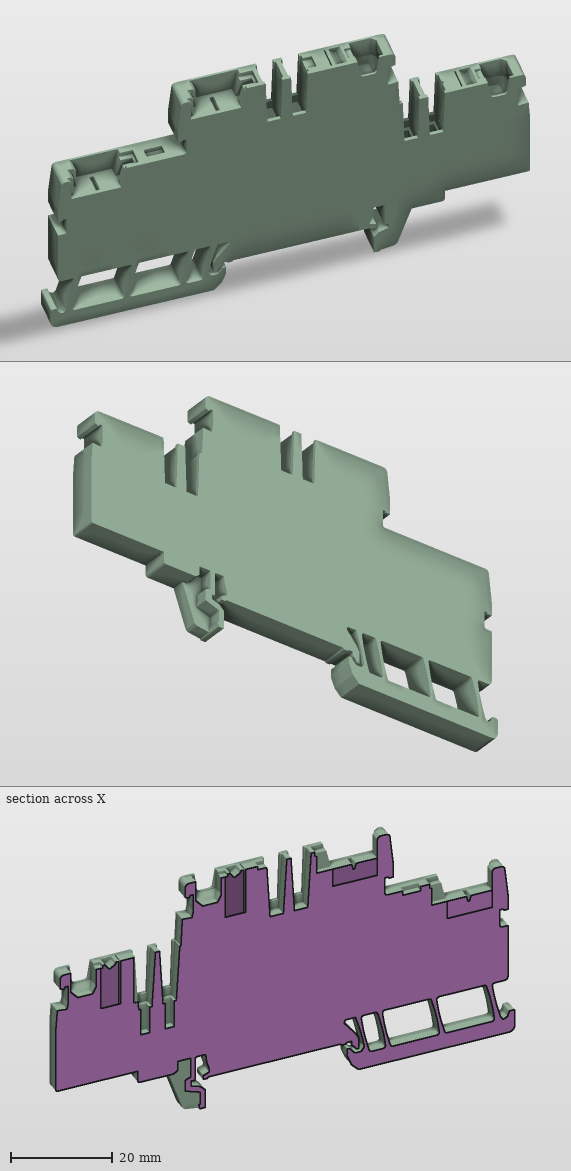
import cadquery as cq
import math

WIDTH = 6.1
HALF = WIDTH / 2
TOTAL_HEIGHT = 53.6
TIER_RISE = 14.2
LOWER_TOP = TOTAL_HEIGHT - TIER_RISE
UNDERSIDE = 12.4
RAIL_SEAT = 7.0
FOOT_BOTTOM = 9.7

WIRE_TIER_SHIFT = 27.2
LEVER_TIER_SHIFT = 25.0

WIRE_TIERS = ((LOWER_TOP, 0.0), (TOTAL_HEIGHT, -WIRE_TIER_SHIFT))
LEVER_TIERS = ((LOWER_TOP, 0.0), (TOTAL_HEIGHT, LEVER_TIER_SHIFT))

SLOT_PITCH = 5.3
LOWER_SLOT_Y = 30.5
UPPER_SLOT_Y = 1.9
SLOT_DEPTH = 10.6
SLOT_TOP_WIDTH = 3.5
SLOT_FLOOR_WIDTH = 2.8
SLOT_CORE_HALF_X = 2.3
SLOT_CORE_TOP_WIDTH = 4.3
SLOT_CORE_DEPTH = 12.5
JUMPER_HOLE_X = 3.0
JUMPER_HOLE_Y = 1.8
JUMPER_HOLE_DEPTH = 6.0
KEY_GROOVE_WIDTH = 0.6
TEST_NOTCH_LENGTH = 1.9
TEST_NOTCH_DEPTH = 0.8

FUNNEL_MOUTH = (-2.6, 2.6, 41.2, 46.7)
FUNNEL_THROAT = (-1.9, 1.4, 42.0, 45.2)
FUNNEL_SHAFT_DEPTH = 4.5
FUNNEL_TAPER_DEPTH = 1.6
FUNNEL_MOUTH_CORNER = 0.9
FUNNEL_THROAT_CORNER = 0.4
FUNNEL_DIP_TOP = (41.2, 45.8)
FUNNEL_DIP_FLOOR = (41.9, 45.2)
FUNNEL_DIP_DEPTH = 4.3
FUNNEL_DIP_RADIUS = 0.8

BUTTON_HALF_X = 2.3
BUTTON_Y0 = 36.2
BUTTON_Y1 = 40.2
BUTTON_GROOVE = ((39.3, 0.0), (38.4, -1.2), (38.1, -1.2), (37.1, -0.5), (36.9, 0.0))
BUTTON_GAP = 0.3
BUTTON_HEIGHT = 10.0
BUTTON_NOTCH_X = 2.7
BUTTON_NOTCH_REACH = 0.4
BUTTON_NOTCH_DEPTH = 0.6

RECESS_X0 = -2.6
RECESS_STEP_X = (-0.1, 2.1)
RECESS_Y_START = -34.1
RECESS_WALL_RUN = 1.2
RECESS_STEP_Y = (-43.7, -44.9, -45.7)
RECESS_DEPTH = 5.0
RECESS_CHAMFER = 0.6
LEVER_THICKNESS = 4.0
LEVER_SLOT_X = (-1.7, 2.3)
LEVER_SLOT_Y = -39.9
LEVER_SLOT_WIDTH = 0.9
LEVER_SLOT_FLOOR = 0.3
LEVER_SLOT_DEPTH = 1.2

SOCKET_X = (-1.4, 2.2)
SOCKET_CORE_X = (-0.4, 1.0)
SOCKET_Y1 = -31.4
SOCKET_LEDGE = 0.5
SOCKET_STEP_DEPTH = 1.0
SOCKET_DEPTH = 5.0

MARKER_X = (-0.7, 1.3)
MARKER_Y = (-29.4, -25.6)
MARKER_DEPTH = 1.0

FLANGE_TOP = 3.6
RIB_LEAN = 1.9
RIB_WAIST = 0.4
WINDOW_RADIUS = 0.5
WAIST_RADIUS = 42.0
WINDOW_TOPS = ((-16.5, -19.9), (-21.1, -31.6), (-32.9, -43.6))

LATCH_WEB_X0 = 0.1
OVERLAP = 1.0


def outline(plane, corners):
    """Closed outline; a corner (u, v, r) is rounded with radius r."""
    count = len(corners)
    legs = []
    for i, corner in enumerate(corners):
        u, v = corner[0], corner[1]
        if len(corner) == 2:
            legs.append(((u, v), None, (u, v)))
            continue
        toward = []
        for other in (corners[i - 1], corners[(i + 1) % count]):
            length = math.hypot(other[0] - u, other[1] - v)
            toward.append(((other[0] - u) / length, (other[1] - v) / length))
        (au, av), (bu, bv) = toward
        half = math.acos(au * bu + av * bv) / 2
        cut = corner[2] / math.tan(half)
        mid = math.hypot(au + bu, av + bv)
        reach = corner[2] / math.sin(half) - corner[2]
        top = (u + (au + bu) / mid * reach, v + (av + bv) / mid * reach)
        legs.append(((u + au * cut, v + av * cut), top, (u + bu * cut, v + bv * cut)))
    path = plane.moveTo(*legs[0][2])
    for start, top, end in legs[1:] + legs[:1]:
        path = path.lineTo(*start)
        if top:
            path = path.threePointArc(top, end)
    return path.close()


def slab(corners, x0=-HALF, x1=HALF):
    """Outline in (Y, Z) extruded from x0 to x1."""
    return outline(cq.Workplane("YZ", origin=(x0, 0, 0)), corners).extrude(x1 - x0)


def block(x, y, z):
    """Box from three (low, high) ranges."""
    size = [high - low for low, high in (x, y, z)]
    return cq.Workplane("XY").box(*size, centered=False).translate((x[0], y[0], z[0]))


def wire_end(top, shift):
    """Hooked end of a wire tier, from its wall up to the top face."""
    hook = [
        (49.7, -8.0), (47.6, -8.2), (47.3, -6.8), (47.3, -3.0), (47.9, -3.0), (48.2, -3.5),
        (49.1, -3.2, 0.2), (49.1, 0.0, 1.0),
    ]
    return [(y + shift, top + z, *radius) for y, z, *radius in hook]


def lever_end(top, shift):
    """End of a lever tier, from its top corner down to the notch floor."""
    hook = [
        (-47.7, 0.0, 0.9), (-48.5, -7.2), (-48.5, -10.5), (-47.4, -10.5), (-47.4, -10.2),
        (-46.7, -10.2), (-46.7, -14.2, 0.5),
    ]
    return [(y + shift, top + z, *radius) for y, z, *radius in hook]


def main_body():
    rail_hook = [
        (-13.1, UNDERSIDE), (-12.8, 11.8), (-15.3, 8.7), (-16.0, 7.4), (-16.0, 4.8), (-15.4, 5.0),
        (-14.9, 5.7), (-14.4, 6.0), (-14.4, RAIL_SEAT), (-13.4, RAIL_SEAT), (-13.1, 6.7),
        (-12.2, 6.7), (-11.9, RAIL_SEAT),
    ]
    rail_nose = [
        (16.7, RAIL_SEAT), (17.0, 6.7), (17.9, 6.7), (17.9, 7.7), (17.1, 8.0), (16.6, 8.2),
        (16.6, 8.8), (17.2, 10.6), (17.4, UNDERSIDE, 0.2),
    ]
    latch_arm = [
        (19.6, UNDERSIDE, 0.4), (19.6, RAIL_SEAT), (20.4, RAIL_SEAT), (20.4, 5.9), (18.5, 5.3, 0.5),
        (17.4, 4.2), (17.4, 0.0, 0.2), (18.7, 0.0), (18.9, 1.0), (18.6, 1.3), (18.6, 3.9),
        (21.9, 5.0), (21.9, 7.6), (20.7, 8.1), (20.7, UNDERSIDE),
    ]
    foot = [
        (23.4, UNDERSIDE), (23.4, 10.4), (24.3, FOOT_BOTTOM), (32.2, FOOT_BOTTOM, 0.6),
        (32.2, UNDERSIDE),
    ]
    corners = [(50.0, UNDERSIDE, 0.4), (50.0, 27.3)]
    corners += wire_end(*WIRE_TIERS[0])
    corners += [(22.8, LOWER_TOP)]
    corners += wire_end(*WIRE_TIERS[1])
    corners += lever_end(*LEVER_TIERS[1])
    corners += lever_end(*LEVER_TIERS[0])
    corners += [(-48.5, 25.2), (-48.5, UNDERSIDE, 0.9)]
    return slab(corners + rail_hook + rail_nose + latch_arm + foot)


def latch_web():
    """Web that stiffens the latch arm, on the +X side only."""
    edge = [
        (25.3, FOOT_BOTTOM), (22.3, 1.1), (21.7, 0.7), (18.7, 0.3), (18.0, 2.0), (18.0, 4.2),
        (20.9, 5.5), (20.9, 7.4), (20.2, 8.0), (20.2, UNDERSIDE + OVERLAP), (25.3, UNDERSIDE + OVERLAP),
    ]
    return slab(edge, LATCH_WEB_X0)


def window(first_top, second_top):
    """Opening between two leaning ribs, each rib narrowest at mid height."""
    mid = (UNDERSIDE + FLANGE_TOP) / 2
    return slab([
        (first_top, UNDERSIDE, WINDOW_RADIUS),
        (first_top - RIB_LEAN / 2 + RIB_WAIST, mid, WAIST_RADIUS),
        (first_top - RIB_LEAN, FLANGE_TOP, WINDOW_RADIUS),
        (second_top - RIB_LEAN, FLANGE_TOP, WINDOW_RADIUS),
        (second_top - RIB_LEAN / 2 - RIB_WAIST, mid, WAIST_RADIUS),
        (second_top, UNDERSIDE, WINDOW_RADIUS),
    ])


def rail_foot():
    inner_end = [
        (-13.4, 3.9), (-13.4, 5.6), (-14.1, 5.5), (-14.4, 5.0), (-15.1, 4.2, 0.6), (-16.5, 4.2, 0.6),
        (-17.1, 5.1), (-16.5, 8.4, WAIST_RADIUS), (-15.2, UNDERSIDE), (-15.2, UNDERSIDE + OVERLAP),
    ]
    outer_end = [
        (-46.0, UNDERSIDE + OVERLAP), (-46.0, UNDERSIDE), (-45.0, UNDERSIDE, 0.5),
        (-45.6, 8.4, WAIST_RADIUS), (-46.9, 4.1),
        (-47.4, 3.4, 0.4), (-48.3, 3.9), (-48.7, 5.1, 0.3), (-50.0, 5.1, 0.4), (-50.0, 0.0, 1.5),
        (-15.9, 0.0), (-14.3, 1.6, 1.0),
    ]
    foot = slab(inner_end + outer_end)
    for first_top, second_top in WINDOW_TOPS:
        foot = foot.cut(window(first_top, second_top))
    return foot


def slot_cut(center, top, top_width, depth, half_x):
    half_top, half_floor = top_width / 2, SLOT_FLOOR_WIDTH / 2
    return slab([
        (center + half_top, top), (center + half_floor, top - depth),
        (center - half_floor, top - depth), (center - half_top, top),
    ], -half_x, half_x)


def jumper_slots(first, top):
    cut = cq.Workplane("XY")
    for center in (first, first - SLOT_PITCH):
        cut = cut.add(slot_cut(center, top, SLOT_TOP_WIDTH, SLOT_DEPTH, HALF))
        cut = cut.add(slot_cut(center, top, SLOT_CORE_TOP_WIDTH, SLOT_CORE_DEPTH, SLOT_CORE_HALF_X))
    return cut.combine()


def jumper_holes():
    """Contact holes in the floors of the lower slots."""
    floor = LOWER_TOP - SLOT_CORE_DEPTH
    centers = [(0, LOWER_SLOT_Y), (0, LOWER_SLOT_Y - SLOT_PITCH)]
    plane = cq.Workplane("XY", origin=(0, 0, floor)).pushPoints(centers)
    return plane.rect(JUMPER_HOLE_X, JUMPER_HOLE_Y).extrude(-JUMPER_HOLE_DEPTH)


def key_groove():
    """Upright groove in the +Y wall of the first lower slot."""
    half = KEY_GROOVE_WIDTH / 2
    y_range = (LOWER_SLOT_Y, LOWER_SLOT_Y + SLOT_CORE_TOP_WIDTH / 2 + half)
    return block((-half, half), y_range, (LOWER_TOP - SLOT_DEPTH, LOWER_TOP))


def test_notch():
    edge = UPPER_SLOT_Y + SLOT_CORE_TOP_WIDTH / 2
    y_range = (UPPER_SLOT_Y, edge + TEST_NOTCH_LENGTH)
    z_range = (TOTAL_HEIGHT - TEST_NOTCH_DEPTH, TOTAL_HEIGHT)
    return block((-JUMPER_HOLE_X / 2, JUMPER_HOLE_X / 2), y_range, z_range)


def wire_funnel(top, shift):
    """Wire opening with a dip in its +X wall."""
    def rim(height, frame, corner):
        x0, x1, y0, y1 = frame
        return cq.Wire.makePolygon([
            cq.Vector(x0, y0 + shift, height), cq.Vector(x1, y0 + shift, height),
            cq.Vector(x1, y1 + shift, height), cq.Vector(x0 + corner, y1 + shift, height),
            cq.Vector(x0, y1 - corner + shift, height),
        ], close=True)

    shaft_end = top - FUNNEL_SHAFT_DEPTH
    mouth = rim(top, FUNNEL_MOUTH, FUNNEL_MOUTH_CORNER)
    neck = rim(shaft_end, FUNNEL_MOUTH, FUNNEL_MOUTH_CORNER)
    throat = rim(shaft_end - FUNNEL_TAPER_DEPTH, FUNNEL_THROAT, FUNNEL_THROAT_CORNER)
    shaft = cq.Solid.makeLoft([mouth, neck], True)
    taper = cq.Solid.makeLoft([neck, throat], True)
    low, high = FUNNEL_DIP_TOP
    floor_low, floor_high = FUNNEL_DIP_FLOOR
    bottom = top - FUNNEL_DIP_DEPTH
    dip = slab([
        (low + shift, top), (high + shift, top), (floor_high + shift, bottom, FUNNEL_DIP_RADIUS),
        (floor_low + shift, bottom, FUNNEL_DIP_RADIUS),
    ], FUNNEL_THROAT[1], HALF)
    return dip.union(cq.Workplane(shaft)).union(cq.Workplane(taper))


def button_notch(top, shift):
    """Shallow notch across the wall between the funnel and the button."""
    half = BUTTON_NOTCH_X / 2
    y_range = (BUTTON_Y1 - BUTTON_NOTCH_REACH + shift, FUNNEL_MOUTH[2] + shift)
    return block((-half, half), y_range, (top - BUTTON_NOTCH_DEPTH, top))


def button_pocket(top, shift):
    y_range = (BUTTON_Y0 - BUTTON_GAP + shift, BUTTON_Y1 + shift)
    return block((-BUTTON_HALF_X, BUTTON_HALF_X), y_range, (top - BUTTON_HEIGHT, top))


def recess_plan(bottom, height, shift, y_start):
    """Stepped plan of the lever recess, extruded upward from the given height."""
    first, second, third = RECESS_STEP_Y
    step_1, step_2 = RECESS_STEP_X
    corners = [
        (RECESS_X0, y_start), (HALF, y_start), (HALF, third), (step_2, third), (step_2, second),
        (step_1, second), (step_1, first), (RECESS_X0, first),
    ]
    plane = cq.Workplane("XY", origin=(0, shift, bottom))
    return outline(plane, corners).extrude(height)


def lever_recess(top, shift):
    floor = top - RECESS_DEPTH
    low_start = RECESS_Y_START - RECESS_WALL_RUN
    depth = RECESS_DEPTH + LEVER_THICKNESS
    cut = recess_plan(floor - LEVER_THICKNESS, depth, shift, low_start)
    cut = cut.union(slab([
        (RECESS_Y_START + shift, top), (low_start + shift, floor),
        (low_start - OVERLAP + shift, floor), (low_start - OVERLAP + shift, top),
    ], RECESS_X0))
    edges = (RECESS_X0, *RECESS_STEP_X, HALF)
    for x0, x1, end in zip(edges, edges[1:], RECESS_STEP_Y):
        cut = cut.union(slab([
            (end + shift, top), (end + shift, top - RECESS_CHAMFER), (end - RECESS_CHAMFER + shift, top),
        ], x0, x1))
    return cut


def test_socket(top, shift):
    """Stepped opening that runs into the lever recess."""
    y_end = RECESS_Y_START - RECESS_WALL_RUN + shift
    y_far = SOCKET_Y1 + shift
    step = block(SOCKET_X, (y_end, y_far), (top - SOCKET_STEP_DEPTH, top))
    core = block(SOCKET_CORE_X, (y_end, y_far - SOCKET_LEDGE), (top - SOCKET_DEPTH, top))
    return step.union(core)


def marker_pocket():
    return block(MARKER_X, MARKER_Y, (LOWER_TOP - MARKER_DEPTH, LOWER_TOP))


def make_housing():
    body = main_body().union(latch_web()).union(rail_foot())
    body = body.cut(jumper_slots(LOWER_SLOT_Y, LOWER_TOP))
    body = body.cut(jumper_slots(UPPER_SLOT_Y, TOTAL_HEIGHT))
    body = body.cut(jumper_holes()).cut(key_groove()).cut(test_notch()).cut(marker_pocket())
    for top, shift in WIRE_TIERS:
        body = body.cut(wire_funnel(top, shift))
        body = body.cut(button_pocket(top, shift)).cut(button_notch(top, shift))
    for top, shift in LEVER_TIERS:
        body = body.cut(lever_recess(top, shift)).cut(test_socket(top, shift))
    return body


def make_button(top, shift):
    """Push button with a finger groove across its top."""
    profile = [
        (BUTTON_Y1, -BUTTON_HEIGHT), (BUTTON_Y1, 0), *BUTTON_GROOVE,
        (BUTTON_Y0, 0), (BUTTON_Y0, -BUTTON_HEIGHT),
    ]
    button = slab([(y + shift, top + z) for y, z in profile], -BUTTON_HALF_X, BUTTON_HALF_X)
    return button.cut(button_notch(top, shift))


def make_lever(top, shift):
    """Stepped lever plate with a screwdriver slot."""
    face = top - RECESS_DEPTH
    y_start = RECESS_Y_START - RECESS_WALL_RUN
    plate = recess_plan(face - LEVER_THICKNESS, LEVER_THICKNESS, shift, y_start)
    center = LEVER_SLOT_Y + shift
    half_top, half_floor = LEVER_SLOT_WIDTH / 2, LEVER_SLOT_FLOOR / 2
    slot = slab([
        (center + half_top, face), (center + half_floor, face - LEVER_SLOT_DEPTH),
        (center - half_floor, face - LEVER_SLOT_DEPTH), (center - half_top, face),
    ], *LEVER_SLOT_X)
    return plate.cut(slot)


housing = make_housing()
buttons = [make_button(top, shift).val() for top, shift in WIRE_TIERS]
levers = [make_lever(top, shift).val() for top, shift in LEVER_TIERS]

result = cq.Compound.makeCompound([housing.val(), *buttons, *levers])